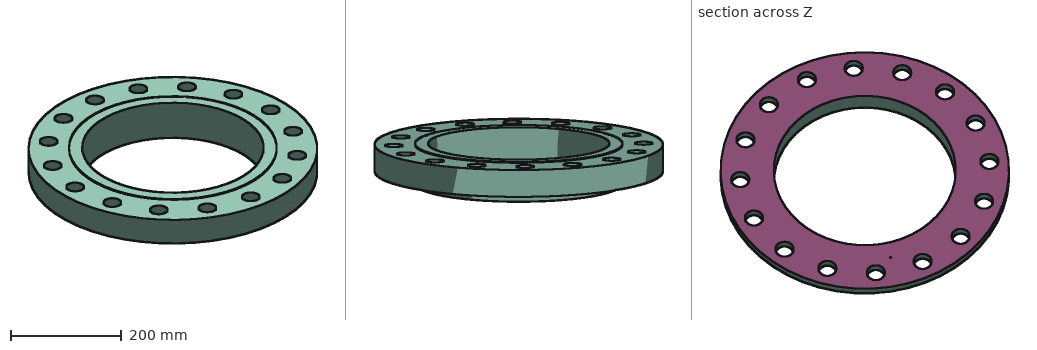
import cadquery as cq

flange_diameter = 520.7
overall_height = 73.15
flange_thickness = 50.8
raised_face_height = 1.6
hub_diameter = 374.65
raised_face_diameter = hub_diameter
bore_diameter = 327.15

bolt_count = 16
bolt_circle_diameter = 450.85
bolt_hole_diameter = 31.75

hub_bottom = 0.0
plate_bottom = overall_height - flange_thickness
plate_top = overall_height - raised_face_height


def disc(diameter, bottom, top):
    """Solid disc on the Z axis between two levels."""
    return cq.Workplane("XY").workplane(offset=bottom).circle(diameter / 2).extrude(top - bottom)


def make_body():
    """Hub, flange plate and raised face stacked along Z."""
    hub = disc(hub_diameter, hub_bottom, plate_bottom)
    plate = disc(flange_diameter, plate_bottom, plate_top)
    raised_face = disc(raised_face_diameter, plate_top, overall_height)
    return hub.union(plate).union(raised_face)


def make_bolt_holes():
    """Cutters for the bolt ring, with no hole on the X or Y axis."""
    half_pitch_angle = 360 / bolt_count / 2
    return (
        cq.Workplane("XY")
        .polarArray(bolt_circle_diameter / 2, half_pitch_angle, 360, bolt_count)
        .circle(bolt_hole_diameter / 2)
        .extrude(overall_height)
    )


bore = disc(bore_diameter, hub_bottom, overall_height)
result = make_body().cut(bore).cut(make_bolt_holes())